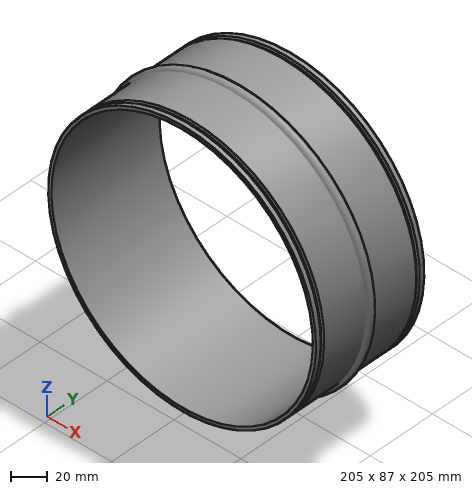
import cadquery as cq
import math

length = 87.0
bead_outer_radius = 102.5
sleeve_radius = 100.0
bore_radius = 97.5

bead_round = 3.5
bead_foot_fillet = 1.0

lip_width = 3.7
groove_width = 2.9
groove_depth = 0.8

half_length = length / 2
groove_outer_y = half_length - lip_width
groove_bottom_y = groove_outer_y - groove_width / 2
groove_inner_y = groove_outer_y - groove_width
groove_bottom_radius = sleeve_radius - groove_depth

bead_center_radius = bead_outer_radius - bead_round
fillet_center_radius = sleeve_radius + bead_foot_fillet
center_distance = bead_round + bead_foot_fillet
center_rise = fillet_center_radius - bead_center_radius
fillet_center_y = math.sqrt(center_distance**2 - center_rise**2)
tangent_y = fillet_center_y * bead_round / center_distance
tangent_radius = bead_center_radius + center_rise * bead_round / center_distance

bead_direction = math.atan2(-center_rise, -fillet_center_y) % (2 * math.pi)
fillet_mid_angle = (bead_direction + 1.5 * math.pi) / 2
fillet_mid_y = fillet_center_y + bead_foot_fillet * math.cos(fillet_mid_angle)
fillet_mid_radius = fillet_center_radius + bead_foot_fillet * math.sin(fillet_mid_angle)

wall_section = (
    cq.Workplane("YZ")
    .moveTo(-half_length, bore_radius)
    .lineTo(-half_length, sleeve_radius)
    .lineTo(-groove_outer_y, sleeve_radius)
    .lineTo(-groove_bottom_y, groove_bottom_radius)
    .lineTo(-groove_inner_y, sleeve_radius)
    .lineTo(-fillet_center_y, sleeve_radius)
    .threePointArc((-fillet_mid_y, fillet_mid_radius), (-tangent_y, tangent_radius))
    .threePointArc((0, bead_outer_radius), (tangent_y, tangent_radius))
    .threePointArc((fillet_mid_y, fillet_mid_radius), (fillet_center_y, sleeve_radius))
    .lineTo(groove_inner_y, sleeve_radius)
    .lineTo(groove_bottom_y, groove_bottom_radius)
    .lineTo(groove_outer_y, sleeve_radius)
    .lineTo(half_length, sleeve_radius)
    .lineTo(half_length, bore_radius)
    .close()
)

result = wall_section.revolve(360, (0, 0, 0), (1, 0, 0))